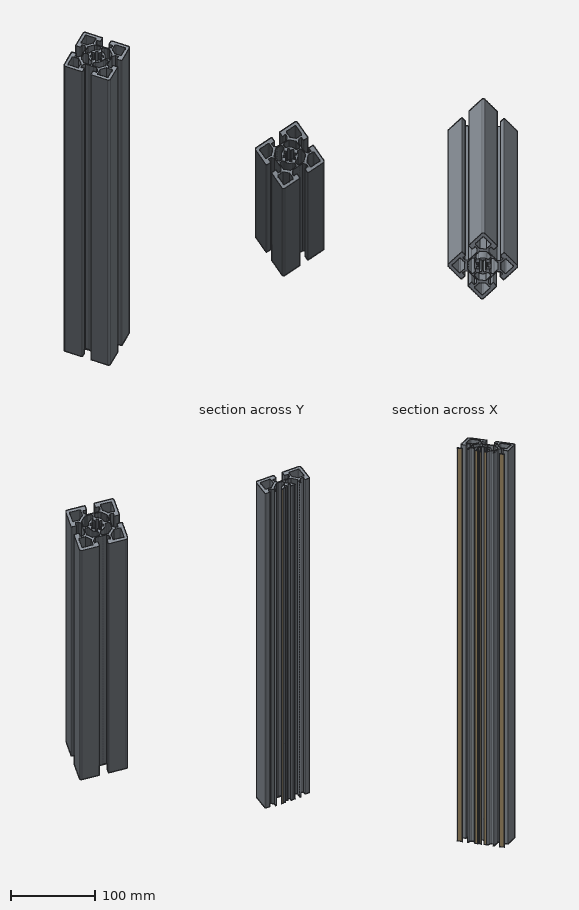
import cadquery as cq
import math

side = 60.0
length = 500.0
corner_radius = 2.5

slot_half_opening = 5.5
slot_half_width = 10.0
lip_thickness = 6.5
lip_outer_radius = 0.85
lip_inner_radius = 0.6
slot_floor = 17.0
slot_floor_chamfer = 3.0

outer_wall = 4.0
slot_wall = 2.4
box_corner_cut = 5.5
box_fillet = 1.0

floor_wall = 1.25
chamber_chamfer = 6.0
web_thickness = 2.0
web_fillet = 2.0

core_radius = 10.0
bore_radius = 5.5
groove_count = 8
groove_reach = 8.0
groove_radius = 1.5

half_side = side / 2
slot_mouth = half_side - lip_thickness
box_inner = slot_half_width + slot_wall
box_outer = half_side - outer_wall
chamber_half = slot_floor - floor_wall
half_web = web_thickness / 2


def extruded(outline):
    """Full-length prism with the given closed outline."""
    return cq.Workplane("XY").polyline(outline).close().extrude(length)


def around_axis(shape, count=4):
    """Equally spaced copies of a shape around the axis, joined together."""
    ring = shape
    for step in range(1, count):
        ring = ring.union(shape.rotate((0, 0, 0), (0, 0, 1), step * 360 / count))
    return ring


def near_lines(points):
    """Selector for the long edges that run through the given (x, y) points."""
    reach = 0.05
    boxes = [
        cq.selectors.BoxSelector((x - reach, y - reach, 0), (x + reach, y + reach, length))
        for x, y in points
    ]
    selector = boxes[0]
    for box in boxes[1:]:
        selector = selector + box
    return selector


def bar():
    """Square bar standing on its lower end, with rounded long edges."""
    return cq.Workplane("XY").rect(side, side).extrude(length).edges("|Z").fillet(corner_radius)


def t_slot():
    """T-slot open towards +X, with chamfered corners at its floor."""
    half_outline = [
        (half_side, -slot_half_opening),
        (slot_mouth, -slot_half_opening),
        (slot_mouth, -slot_half_width),
        (slot_floor + slot_floor_chamfer, -slot_half_width),
        (slot_floor, -slot_half_width + slot_floor_chamfer),
    ]
    mirrored_half = [(x, -y) for x, y in reversed(half_outline)]
    return extruded(half_outline + mirrored_half)


def corner_box():
    """Hollow of the +X +Y corner, cut off diagonally towards the axis."""
    rounded_corners = [
        (box_outer, box_inner),
        (box_outer, box_outer),
        (box_inner, box_outer),
    ]
    cut_start = (box_inner + box_corner_cut, box_inner)
    cut_end = (box_inner, box_inner + box_corner_cut)
    box = extruded([cut_start] + rounded_corners + [cut_end])
    return box.edges("|Z").edges(near_lines(rounded_corners)).fillet(box_fillet)


def chamber_quarter():
    """Hollow between two webs, the screw core and the slot floors in the +X +Y quarter."""
    hollow = extruded(
        [
            (half_web, half_web),
            (chamber_half, half_web),
            (chamber_half, chamber_half - chamber_chamfer),
            (chamber_half - chamber_chamfer, chamber_half),
            (half_web, chamber_half),
        ]
    )
    hollow = hollow.cut(cq.Workplane("XY").circle(core_radius).extrude(length))
    core_joint = math.sqrt(core_radius**2 - half_web**2)
    web_ends = [
        (core_joint, half_web),
        (chamber_half, half_web),
        (half_web, core_joint),
        (half_web, chamber_half),
    ]
    return hollow.edges("|Z").edges(near_lines(web_ends)).fillet(web_fillet)


def core_bore():
    """Round bore with round-bottomed grooves placed evenly to both sides of the axes."""
    groove_centre = groove_reach - groove_radius
    groove = cq.Workplane("XY").rect(groove_centre, 2 * groove_radius).extrude(length)
    groove = groove.translate((groove_centre / 2, 0, 0))
    groove = groove.union(
        cq.Workplane("XY").center(groove_centre, 0).circle(groove_radius).extrude(length)
    )
    first_angle = 180 / groove_count
    grooves = around_axis(groove.rotate((0, 0, 0), (0, 0, 1), first_angle), groove_count)
    return cq.Workplane("XY").circle(bore_radius).extrude(length).union(grooves)


def round_lips(body, distance, radius):
    """Round the lip edges at the given distance from the axis on all four sides."""
    edges = []
    for along in (-distance, distance):
        for across in (-slot_half_opening, slot_half_opening):
            edges += [(along, across), (across, along)]
    return body.edges("|Z").edges(near_lines(edges)).fillet(radius)


result = bar()
for hollow in (t_slot(), corner_box(), chamber_quarter()):
    result = result.cut(around_axis(hollow))
result = result.cut(core_bore())
result = round_lips(result, half_side, lip_outer_radius)
result = round_lips(result, slot_mouth, lip_inner_radius).solids()